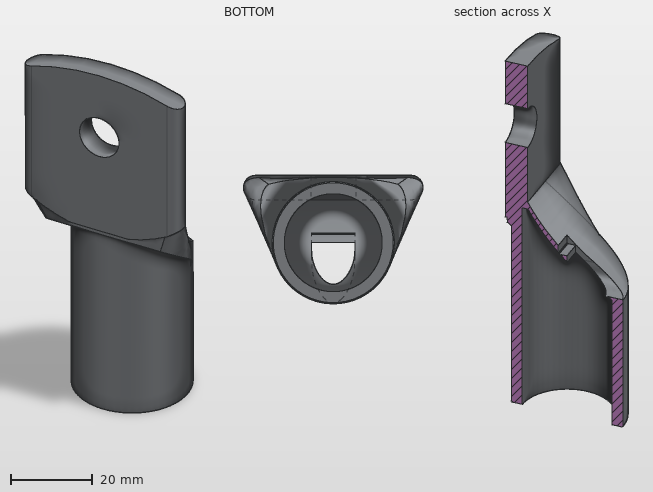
import cadquery as cq
import math

barrel_dia = 30.0
bore_dia = 24.0
barrel_radius = barrel_dia / 2
shoulder_z = 36.1
rim_chamfer = 0.3

total_height = 97.6
palm_width = 44.0
total_depth = 31.5
palm_thickness = 6.1
palm_edge_radius = palm_thickness / 2
palm_front_y = barrel_radius - total_depth
palm_back_y = palm_front_y + palm_thickness
palm_crown = 4.0
palm_corner_z = 58.6
palm_bottom_z = 52.7
palm_bottom_width = 16.6
palm_corner_mid_x = 15.1
palm_corner_mid_z = 55.0
bolt_hole_dia = 11.0
bolt_hole_z = 79.7

neck_top_z = 58.6
neck_back_edge_z = 36.6
neck_waist_z = 45.9
underside_front_z = 51.7
underside_back_y = 3.2
underside_back_z = 38.1

slot_width = 10.5
slot_bottom_z = 36.7
slot_ledge_length = 2.3
slot_ledge_depth = 0.2
roof_drop = 2.1


def back_profile(drop):
    """YZ region below the sloping back, lowered by the given drop."""
    return (
        cq.Workplane("YZ")
        .moveTo(palm_front_y, 0)
        .lineTo(barrel_radius, 0)
        .lineTo(barrel_radius, neck_back_edge_z - drop)
        .threePointArc((0, neck_waist_z - drop), (palm_back_y, neck_top_z - drop))
        .lineTo(palm_front_y, neck_top_z - drop)
        .close()
        .extrude(palm_width / 2, both=True)
    )


def make_palm():
    half_width = palm_width / 2
    half_bottom = palm_bottom_width / 2
    shoulder = total_height - palm_crown
    outline = (
        cq.Workplane("XZ", origin=(0, palm_back_y, 0))
        .moveTo(-half_bottom, palm_bottom_z)
        .lineTo(half_bottom, palm_bottom_z)
        .threePointArc((palm_corner_mid_x, palm_corner_mid_z), (half_width, palm_corner_z))
        .lineTo(half_width, shoulder)
        .threePointArc((0, total_height), (-half_width, shoulder))
        .lineTo(-half_width, palm_corner_z)
        .threePointArc((-palm_corner_mid_x, palm_corner_mid_z), (-half_bottom, palm_bottom_z))
        .close()
        .extrude(palm_thickness)
    )
    rounded_bar = (
        cq.Workplane("XY")
        .center(0, palm_front_y + palm_thickness / 2)
        .slot2D(palm_width, palm_thickness)
        .extrude(total_height)
    )
    return outline.intersect(rounded_bar)


def make_neck():
    """Loft from the round barrel to the palm section, cut away below its underside."""
    diagonal = barrel_radius * math.sqrt(0.5)
    half_flat = palm_width / 2 - palm_edge_radius
    palm_mid_y = (palm_front_y + palm_back_y) / 2
    loft = (
        cq.Workplane("XY", origin=(0, 0, shoulder_z))
        .moveTo(-diagonal, -diagonal)
        .threePointArc((0, -barrel_radius), (diagonal, -diagonal))
        .threePointArc((barrel_radius, 0), (diagonal, diagonal))
        .threePointArc((0, barrel_radius), (-diagonal, diagonal))
        .threePointArc((-barrel_radius, 0), (-diagonal, -diagonal))
        .close()
        .workplane(offset=neck_top_z - shoulder_z)
        .moveTo(-half_flat, palm_front_y)
        .lineTo(half_flat, palm_front_y)
        .threePointArc((palm_width / 2, palm_mid_y), (half_flat, palm_back_y))
        .lineTo(-half_flat, palm_back_y)
        .threePointArc((-palm_width / 2, palm_mid_y), (-half_flat, palm_front_y))
        .close()
        .loft(ruled=True)
    )
    below_underside = (
        cq.Workplane("YZ")
        .moveTo(palm_front_y, 0)
        .lineTo(palm_front_y, underside_front_z)
        .lineTo(underside_back_y, underside_back_z)
        .lineTo(underside_back_y, 0)
        .close()
        .extrude(palm_width / 2, both=True)
    )
    return loft.cut(below_underside).intersect(back_profile(0))


def make_barrel():
    return (
        cq.Workplane("XY").circle(barrel_radius).extrude(neck_top_z)
        .faces("<Z").edges().chamfer(rim_chamfer)
        .intersect(back_profile(0))
    )


def make_bore():
    """Bore from the open end up to an inner roof following the sloping back."""
    return (
        cq.Workplane("XY").circle(bore_dia / 2).extrude(neck_top_z)
        .intersect(back_profile(roof_drop))
    )


def make_inspection_slot():
    """U-shaped cut from the back to the barrel axis, with a shallow ledge at its front."""
    slot_radius = slot_width / 2
    arc_z = slot_bottom_z + slot_radius
    u_cut = (
        cq.Workplane("XZ")
        .moveTo(-slot_radius, neck_top_z)
        .lineTo(-slot_radius, arc_z)
        .threePointArc((0, slot_bottom_z), (slot_radius, arc_z))
        .lineTo(slot_radius, neck_top_z)
        .close()
        .extrude(-barrel_radius)
    )
    ledge_floor = neck_waist_z - slot_ledge_depth
    ledge = (
        cq.Workplane("XY", origin=(0, -slot_ledge_length / 2, ledge_floor))
        .rect(slot_width, slot_ledge_length)
        .extrude(neck_top_z - ledge_floor)
    )
    return u_cut.union(ledge)


def make_bolt_hole():
    return (
        cq.Workplane("XZ", origin=(0, palm_back_y, bolt_hole_z))
        .circle(bolt_hole_dia / 2)
        .extrude(palm_thickness)
    )


lug = make_barrel().union(make_neck()).union(make_palm())
result = lug.cut(make_bore()).cut(make_inspection_slot()).cut(make_bolt_hole())